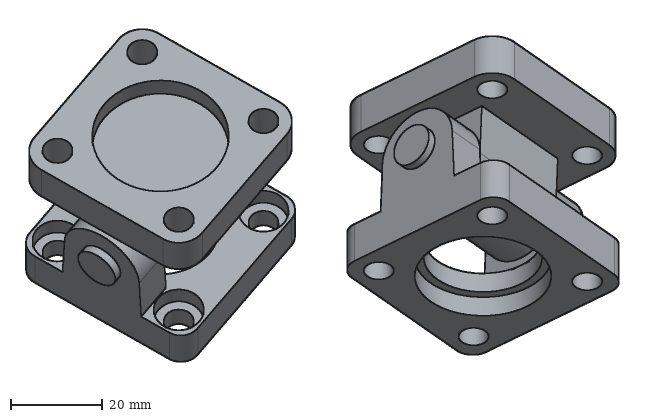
import cadquery as cq
import math

PLATE_SIDE = 45.0
PLATE_THICKNESS = 10.0
BOLT_SPACING = 32.5
BOLT_HOLE_DIAMETER = 6.6
LOWER_CORNER_RADIUS = 4.5
UPPER_CORNER_RADIUS = (PLATE_SIDE - BOLT_SPACING) / 2

PIN_HEIGHT = 22.0
PIN_DIAMETER = 10.0
PIN_OVERHANG = 2.0
PIN_LENGTH = PLATE_SIDE + 2 * PIN_OVERHANG
KNUCKLE_RADIUS = 10.0
KNUCKLE_FLANK_ANGLE = math.radians(2.5)
TONGUE_WIDTH = 26.0
LUG_THICKNESS = (PLATE_SIDE - TONGUE_WIDTH) / 2

COUNTERBORE_DIAMETER = 11.0
COUNTERBORE_DEPTH = 4.5

RECESS_DIAMETER = 30.0
RECESS_DEPTH = 5.0
OPENING_DIAMETER = 26.0


def plate(corner_radius):
    """Square plate standing on the XY plane, with rounded upright edges."""
    blank = cq.Workplane("XY").box(PLATE_SIDE, PLATE_SIDE, PLATE_THICKNESS, centered=(True, True, False))
    return blank.edges("|Z").fillet(corner_radius)


def bolt_cylinders(diameter, bottom, height):
    """Four upright cylinders on the bolt pattern."""
    pattern = cq.Workplane("XY").workplane(offset=bottom).rect(BOLT_SPACING, BOLT_SPACING, forConstruction=True)
    return pattern.vertices().circle(diameter / 2).extrude(height)


def disc(diameter, bottom, height):
    """Upright cylinder on the Z axis."""
    return cq.Workplane("XY").workplane(offset=bottom).circle(diameter / 2).extrude(height)


def cross_pin(diameter, y_start, length):
    """Cylinder along Y on the hinge axis."""
    side = cq.Workplane("XZ", origin=(0, y_start + length, PIN_HEIGHT))
    return side.circle(diameter / 2).extrude(length)


def knuckle(y_start, width):
    """Tapered knuckle on a plate, its flanks tangent to the round end."""
    tangent_x = KNUCKLE_RADIUS * math.cos(KNUCKLE_FLANK_ANGLE)
    tangent_z = PIN_HEIGHT + KNUCKLE_RADIUS * math.sin(KNUCKLE_FLANK_ANGLE)
    root_x = tangent_x + (tangent_z - PLATE_THICKNESS) * math.tan(KNUCKLE_FLANK_ANGLE)
    return (
        cq.Workplane("XZ", origin=(0, y_start + width, 0))
        .moveTo(-root_x, PLATE_THICKNESS)
        .lineTo(root_x, PLATE_THICKNESS)
        .lineTo(tangent_x, tangent_z)
        .threePointArc((0, PIN_HEIGHT + KNUCKLE_RADIUS), (-tangent_x, tangent_z))
        .close()
        .extrude(width)
    )


def make_clevis():
    """Lower plate with two lugs and the hinge pin fixed in them."""
    body = plate(LOWER_CORNER_RADIUS)
    body = body.cut(bolt_cylinders(BOLT_HOLE_DIAMETER, 0, PLATE_THICKNESS))
    body = body.cut(disc(OPENING_DIAMETER, 0, PLATE_THICKNESS))
    body = body.cut(disc(RECESS_DIAMETER, 0, RECESS_DEPTH))
    for y_start in (-PLATE_SIDE / 2, TONGUE_WIDTH / 2):
        body = body.union(knuckle(y_start, LUG_THICKNESS))
    counterbore_floor = PLATE_THICKNESS - COUNTERBORE_DEPTH
    body = body.cut(bolt_cylinders(COUNTERBORE_DIAMETER, counterbore_floor, COUNTERBORE_DEPTH))
    return body.union(cross_pin(PIN_DIAMETER, -PIN_LENGTH / 2, PIN_LENGTH))


def make_tongue():
    """Upper plate with a hanging tongue, bored for the hinge pin."""
    body = plate(UPPER_CORNER_RADIUS)
    body = body.cut(bolt_cylinders(BOLT_HOLE_DIAMETER, 0, PLATE_THICKNESS))
    body = body.cut(disc(RECESS_DIAMETER, 0, RECESS_DEPTH))
    body = body.union(knuckle(-TONGUE_WIDTH / 2, TONGUE_WIDTH))
    body = body.cut(cross_pin(PIN_DIAMETER, -TONGUE_WIDTH / 2, TONGUE_WIDTH))
    return body.rotate((0, 0, PIN_HEIGHT), (0, 1, PIN_HEIGHT), 180)


clevis = make_clevis()
tongue = make_tongue()
result = cq.Compound.makeCompound([clevis.val(), tongue.val()])